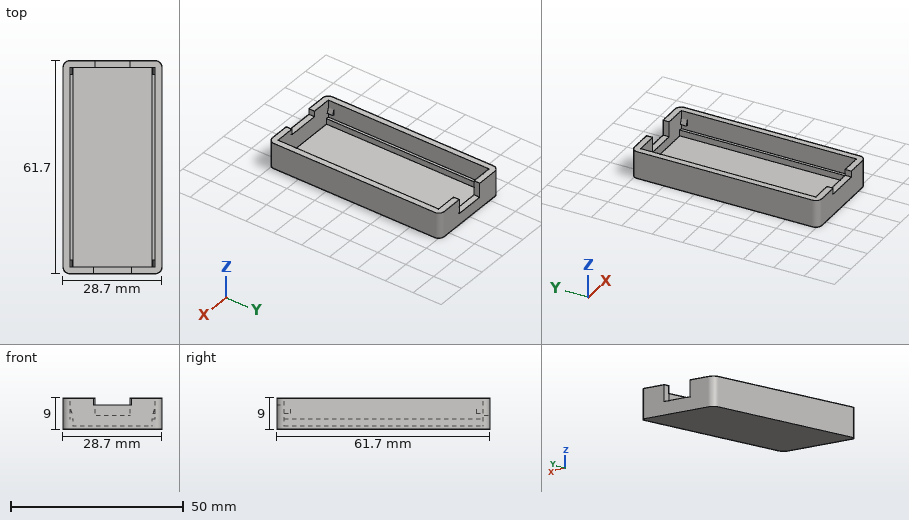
import cadquery as cq

width = 28.7
length = 61.7
height = 9.0
wall = 2.05
corner_radius = wall
floor_thickness = 1.0

ledge_width = 0.9
ledge_height = 2.0

front_notch_width = 11.05
front_notch_depth = 2.0
rear_notch_width = 10.0
rear_notch_depth = 5.0

catch_length = 2.0
catch_reach = 0.55
catch_height = 1.7
catch_top_drop = 2.65

cavity_width = width - 2 * wall
cavity_length = length - 2 * wall


def make_tray():
    """Rounded block hollowed from the rim to the floor, leaving side ledges."""
    block = cq.Workplane("XY").rect(width, length).extrude(height)
    block = block.edges("|Z").fillet(corner_radius)
    ledge_top = floor_thickness + ledge_height
    upper_cavity = (
        cq.Workplane("XY", origin=(0, 0, ledge_top))
        .rect(cavity_width, cavity_length)
        .extrude(height - ledge_top)
    )
    lower_cavity = (
        cq.Workplane("XY", origin=(0, 0, floor_thickness))
        .rect(cavity_width - 2 * ledge_width, cavity_length)
        .extrude(ledge_height)
    )
    return block.cut(upper_cavity).cut(lower_cavity)


def make_notch(side, notch_width, notch_depth):
    """Cutter through one end wall; side is -1 for the -Y end and +1 for the +Y end."""
    center_y = side * (length - wall) / 2
    return (
        cq.Workplane("XY", origin=(0, center_y, height - notch_depth))
        .rect(notch_width, wall)
        .extrude(notch_depth)
    )


def make_catch(side_x, side_y):
    """Triangular catch on a long wall, set against the end wall."""
    wall_x = side_x * cavity_width / 2
    tip_x = wall_x - side_x * catch_reach
    top_z = height - catch_top_drop
    bottom_z = top_z - catch_height
    center_y = side_y * (cavity_length - catch_length) / 2
    return (
        cq.Workplane("XZ", origin=(0, center_y, 0))
        .polyline([(wall_x, top_z), (tip_x, bottom_z), (wall_x, bottom_z)])
        .close()
        .extrude(catch_length / 2, both=True)
    )


result = make_tray()
result = result.cut(make_notch(-1, front_notch_width, front_notch_depth))
result = result.cut(make_notch(1, rear_notch_width, rear_notch_depth))
for side_x in (-1, 1):
    for side_y in (-1, 1):
        result = result.union(make_catch(side_x, side_y))